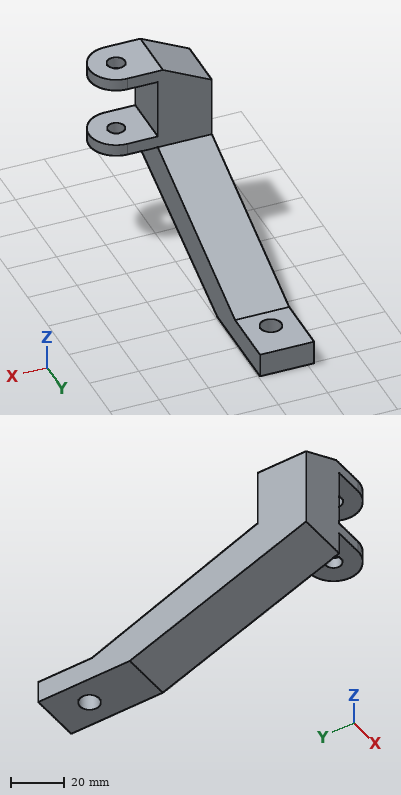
import cadquery as cq

length = 121.5
width = 22.0
height = 75.0
foot_thickness = 10.0
foot_top_length = 24.3
foot_bottom_length = 41.5
slope_start_height = 30.0
slope_top_height = 40.0

bevel_width = 19.9
bevel_height = 10.0

lug_thickness = 5.0
lug_reach = 45.3
lug_radius = width / 2
lug_center_x = lug_reach - lug_radius
upper_lug_bottom = height - lug_thickness
lower_lug_bottom = slope_top_height

foot_hole_diameter = 8.5
foot_hole_from_end = 15.8
upper_lug_hole_diameter = 7.2
lower_lug_hole_diameter = 6.8


def make_arm():
    """Foot, slope and post, extruded across the width and bevelled on top."""
    profile = [
        (0, slope_start_height),
        (length - foot_bottom_length, 0),
        (length, 0),
        (length, foot_thickness),
        (length - foot_top_length, foot_thickness),
        (width, slope_top_height),
        (width, height),
        (0, height),
    ]
    arm = cq.Workplane("YZ").polyline(profile).close().extrude(width)
    bevel = (
        cq.Workplane("XZ")
        .polyline([(0, height - bevel_height), (bevel_width, height), (0, height)])
        .close()
        .extrude(-width)
    )
    foot_hole = (
        cq.Workplane("XY")
        .center(width / 2, length - foot_hole_from_end)
        .circle(foot_hole_diameter / 2)
        .extrude(foot_thickness)
    )
    return arm.cut(bevel).cut(foot_hole)


def make_lug(bottom, hole_diameter):
    """Round-ended plate that starts inside the post and carries a pin hole."""
    plate = (
        cq.Workplane("XY", origin=(0, 0, bottom))
        .moveTo(bevel_width, 0)
        .lineTo(lug_center_x, 0)
        .threePointArc((lug_reach, lug_radius), (lug_center_x, width))
        .lineTo(bevel_width, width)
        .close()
        .extrude(lug_thickness)
    )
    hole = (
        cq.Workplane("XY", origin=(lug_center_x, lug_radius, bottom))
        .circle(hole_diameter / 2)
        .extrude(lug_thickness)
    )
    return plate.cut(hole)


upper_lug = make_lug(upper_lug_bottom, upper_lug_hole_diameter)
lower_lug = make_lug(lower_lug_bottom, lower_lug_hole_diameter)
result = make_arm().union(upper_lug).union(lower_lug)